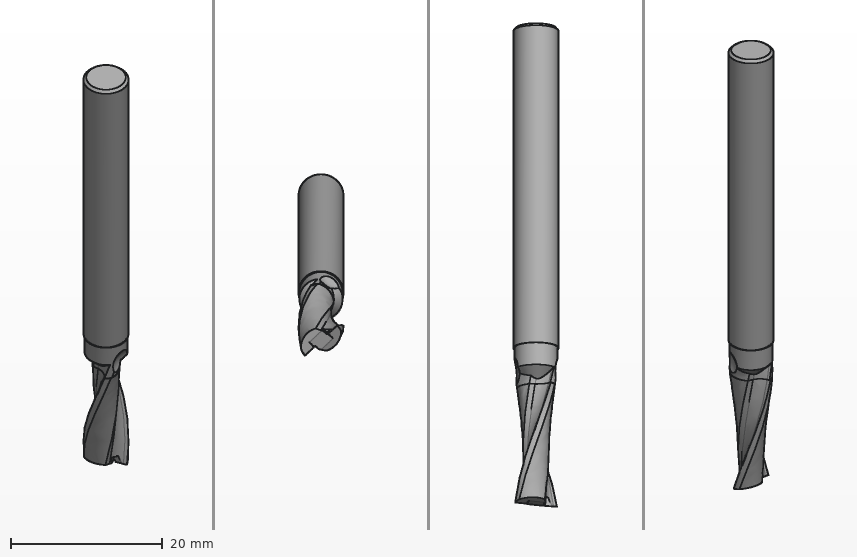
import cadquery as cq
import math

total_length = 65.0
shank_radius = 3.0
shank_bottom = 21.4
shank_chamfer = 0.4
neck_radius = 2.85
cutter_length = 16.1

land_angle = 17.0
heel_radius = 2.9
back_x = 1.3
back_y = 1.79
flute_edge_x = 0.5
flute_edge_y = 1.6
flute_bevel_x = 0.9
flute_bevel_y = 1.0
flute_middle_x = 1.5
flute_middle_y = 0.4
lip_width = 0.5
twist_per_unit = 6.769

end_relief_slope = 0.25
end_hollow_half_width = 1.3
end_hollow_height = 0.23
gash_inner_x = 1.1
gash_height = 1.1

runout_top = 18.4
runout_cone_depth = 1.55
runout_ball_radius = 3.25
runout_ball_x = 5.15
runout_ball_y = 1.7
runout_ball_z = 17.95


def polar(radius, degrees):
    angle = math.radians(degrees)
    return (radius * math.cos(angle), radius * math.sin(angle))


def opposite(point):
    return (-point[0], -point[1])


def fluted_bar(bottom, height):
    """Twisted two-flute bar whose cutting edges lie on the X axis at Z = 0."""
    tip = (shank_radius, 0)
    land_middle = polar((shank_radius + heel_radius) / 2, land_angle / 2)
    heel = polar(heel_radius, land_angle)
    back = (back_x, back_y)
    flute_edge = (-flute_edge_x, flute_edge_y)
    flute_bevel = (-flute_bevel_x, flute_bevel_y)
    flute_middle = (-flute_middle_x, flute_middle_y)
    lip = (lip_width - shank_radius, 0)
    section = (
        cq.Workplane("XY")
        .moveTo(*tip)
        .threePointArc(land_middle, heel)
        .threePointArc(back, flute_edge)
        .lineTo(*flute_bevel)
        .threePointArc(flute_middle, lip)
        .lineTo(*opposite(tip))
        .threePointArc(opposite(land_middle), opposite(heel))
        .threePointArc(opposite(back), opposite(flute_edge))
        .lineTo(*opposite(flute_bevel))
        .threePointArc(opposite(flute_middle), opposite(lip))
        .close()
    )
    bar = section.twistExtrude(height, twist_per_unit * height)
    return bar.rotate((0, 0, 0), (0, 0, 1), twist_per_unit * bottom).translate((0, 0, bottom))


def end_relief():
    """Wedges below the cutting end, rising away from the X axis on both sides."""
    rise = end_relief_slope * shank_radius
    return (
        cq.Workplane("YZ")
        .polyline([(0, 0), (shank_radius, rise), (shank_radius, -rise), (-shank_radius, -rise),
                   (-shank_radius, rise)])
        .close()
        .extrude(shank_radius, both=True)
    )


def end_hollow():
    """Shallow slot across the middle, so only the outer edges reach the end."""
    return cq.Workplane("XY").box(
        2 * end_hollow_half_width, 2 * shank_radius, 2 * end_hollow_height
    )


def end_gash(turn):
    """Notch that squares the rake face beside one cutting edge."""
    gash = cq.Workplane("XY").box(
        shank_radius, shank_radius, gash_height, centered=False
    ).translate((gash_inner_x, -shank_radius, 0))
    return gash.rotate((0, 0, 0), (0, 0, 1), turn)


def make_cutter():
    cutter = fluted_bar(0, cutter_length)
    cutter = cutter.cut(end_relief()).cut(end_hollow())
    for turn in (0, 180):
        cutter = cutter.cut(end_gash(turn))
    return cutter


def runout_ball(turn):
    """Rounded end of one flute, on its rake side."""
    ball = cq.Workplane("XY").sphere(runout_ball_radius)
    ball = ball.translate((runout_ball_x, -runout_ball_y, runout_ball_z))
    return ball.rotate((0, 0, 0), (0, 0, 1), turn)


def make_shank():
    """Plain shank and neck, with the flutes running out into the neck."""
    shank = (
        cq.Workplane("XY", origin=(0, 0, shank_bottom))
        .circle(shank_radius)
        .extrude(total_length - shank_bottom)
        .faces(">Z")
        .chamfer(shank_chamfer)
    )
    core_radius = neck_radius - runout_cone_depth
    neck = (
        cq.Workplane("XZ")
        .polyline([(0, runout_top - runout_cone_depth), (core_radius, runout_top - runout_cone_depth),
                   (neck_radius, runout_top), (neck_radius, shank_bottom), (0, shank_bottom)])
        .close()
        .revolve(360, (0, 0, 0), (0, 1, 0))
    )
    neck_bar = fluted_bar(cutter_length, runout_top - cutter_length)
    neck_envelope = (
        cq.Workplane("XY", origin=(0, 0, cutter_length))
        .circle(neck_radius)
        .extrude(shank_bottom - cutter_length)
    )
    neck = neck.union(neck_bar.intersect(neck_envelope))
    for turn in (0, 180):
        neck = neck.cut(runout_ball(turn))
    return shank.union(neck)


cutter = make_cutter()
shank = make_shank()
result = cq.Compound.makeCompound([cutter.val(), shank.val()])